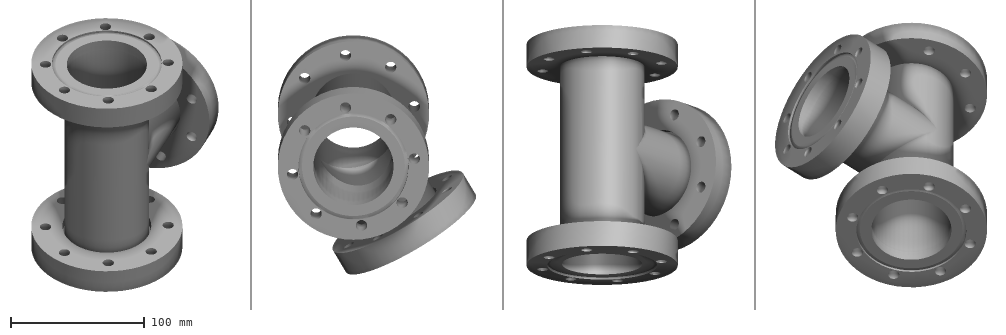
import cadquery as cq

FACE_DISTANCE = 85.7
TUBE_OD = 63.5
TUBE_BORE = 60.4

FLANGE_OD = 113.5
FLANGE_BORE = 60.2
FIXED_THICKNESS = 17.5
ROTATABLE_THICKNESS = 19.2
BOLT_COUNT = 8
BOLT_HOLE_DIA = 8.4
BOLT_CIRCLE_DIA = 92.0

RECESS_DIA = 82.5
LAND_DIA = 77.2
LAND_DEPTH = 1.0
RECESS_DEPTH = 1.7

SOCKET_DEPTH = 9.6
INSERT_OD = 82.3
INSERT_THICKNESS = 12.0
RING_BORE = 66.7

TUBE_END = FACE_DISTANCE - SOCKET_DEPTH


def cylinder(diameter, start, end):
    """Solid cylinder on the Z axis between two heights."""
    return cq.Workplane("XY").workplane(offset=start).circle(diameter / 2).extrude(end - start)


def to_branch(body):
    """Turn a body on the +Z axis onto the +Y axis."""
    return body.rotate((0, 0, 0), (1, 0, 0), -90)


def to_bottom(body):
    """Turn a body on the +Z axis onto the -Z axis."""
    return body.rotate((0, 0, 0), (1, 0, 0), 180)


def bolt_holes(thickness):
    """Bolt hole cutters, straddling the centre lines of a flange."""
    return (
        cq.Workplane("XY")
        .workplane(offset=FACE_DISTANCE - thickness)
        .polarArray(BOLT_CIRCLE_DIA / 2, 180 / BOLT_COUNT, 360, BOLT_COUNT)
        .circle(BOLT_HOLE_DIA / 2)
        .extrude(thickness)
    )


def sealing_body(outer_dia, thickness, recess_dia):
    """Turned flange body with its sealing face up, a bore and a tube socket below."""
    face = FACE_DISTANCE
    back = face - thickness
    profile = [
        (FLANGE_BORE / 2, face - LAND_DEPTH),
        (LAND_DIA / 2, face - LAND_DEPTH),
        (recess_dia / 2, face - RECESS_DEPTH),
    ]
    if outer_dia > recess_dia:
        profile += [(recess_dia / 2, face), (outer_dia / 2, face)]
    profile += [
        (outer_dia / 2, back),
        (TUBE_OD / 2, back),
        (TUBE_OD / 2, TUBE_END),
        (FLANGE_BORE / 2, TUBE_END),
    ]
    return cq.Workplane("XZ").polyline(profile).close().revolve(360, (0, 0, 0), (0, 1, 0))


def make_run_tube():
    """Through tube, opened on its +Y side into the branch."""
    tube = cylinder(TUBE_OD, -TUBE_END, TUBE_END).cut(cylinder(TUBE_BORE, -TUBE_END, TUBE_END))
    return tube.cut(to_branch(cylinder(TUBE_BORE, 0, TUBE_END)))


def make_branch_tube():
    """Branch tube, its inner end shaped to sit on the run tube."""
    tube = cylinder(TUBE_OD, 0, TUBE_END).cut(cylinder(TUBE_BORE, 0, TUBE_END))
    return to_branch(tube).cut(cylinder(TUBE_OD, -TUBE_END, TUBE_END))


def make_fixed_flange():
    """One-piece bolt flange at the top of the run tube."""
    return sealing_body(FLANGE_OD, FIXED_THICKNESS, RECESS_DIA).cut(bolt_holes(FIXED_THICKNESS))


def make_insert():
    """Sealing insert that holds a rotatable ring."""
    return sealing_body(INSERT_OD, INSERT_THICKNESS, INSERT_OD)


def make_rotatable_ring():
    """Bolt ring, counterbored from its face for the insert."""
    back = FACE_DISTANCE - ROTATABLE_THICKNESS
    ring = cylinder(FLANGE_OD, back, FACE_DISTANCE)
    ring = ring.cut(cylinder(RING_BORE, back, FACE_DISTANCE))
    ring = ring.cut(cylinder(RECESS_DIA, FACE_DISTANCE - INSERT_THICKNESS, FACE_DISTANCE))
    return ring.cut(bolt_holes(ROTATABLE_THICKNESS))


run_tube = make_run_tube()
branch_tube = make_branch_tube()
fixed_flange = make_fixed_flange()

inserts = []
rings = []
for place in (to_bottom, to_branch):
    inserts.append(place(make_insert()).val())
    rings.append(place(make_rotatable_ring()).val())

result = cq.Compound.makeCompound(
    [run_tube.val(), branch_tube.val(), fixed_flange.val(), *inserts, *rings]
)